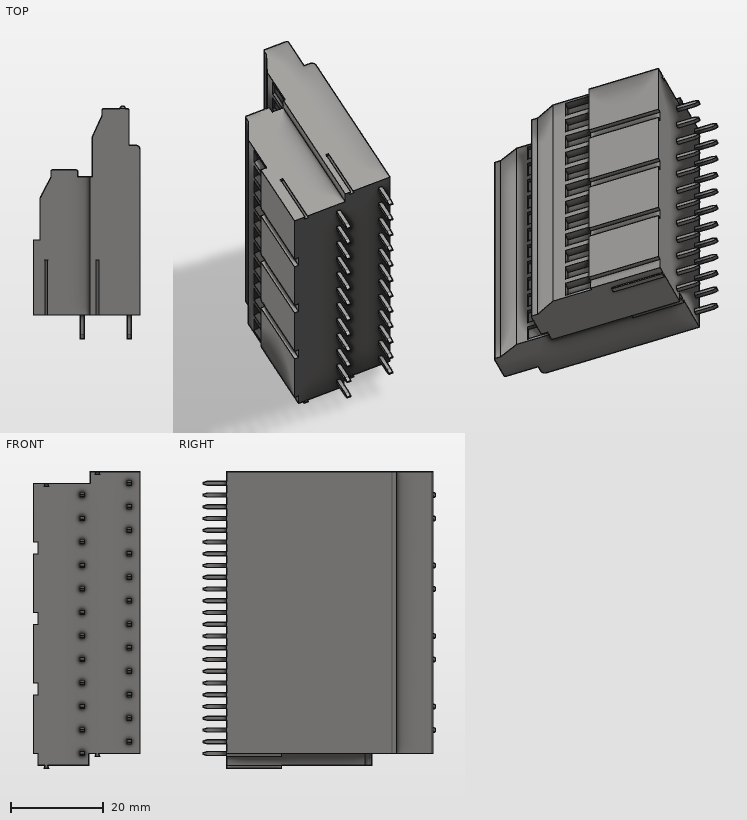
import cadquery as cq


total_length = 64.1
rib_height = 0.65
poles = 12
poles_per_group = 3
pitch = (total_length - rib_height) / (poles + 0.5)
row_length = poles * pitch
row_offset = pitch / 2
front_bottom = rib_height
rear_bottom = front_bottom + row_offset

front_depth = 12.0
front_lip_height = 16.3
front_face_x = 1.4
front_slope_bottom = 25.25
front_slope_top = 29.8
front_crest_x = 3.8
front_top = 31.4
front_crest_end = 9.6
saddle_height = 29.95

total_depth = 23.1
rear_start = 12.25
rear_face_x = 12.7
rear_slope_bottom = 38.45
rear_slope_top = 43.1
rear_crest_x = 14.8
rear_top = 44.6
rear_crest_end = 20.7
shoulder_height = 36.7
shoulder_radius = 1.0
crest_radius = 0.4

pocket_length = 3.7
front_pocket_top = 22.4
front_pocket_depth = 1.4
front_pocket_taper = 0.45
rear_pocket_top = 35.95
rear_pocket_depth = 0.6
rear_pocket_taper = 0.25

groove_depth = 0.95
groove_width = pitch / 2
groove_spacing = poles_per_group * pitch

rib_neck = 0.6
rib_head = 1.0
rib_length = 11.9
front_rib_x = 2.8
rear_rib_x = 13.85

pin_size = 0.9
pin_length = 5.1
pin_tip_length = 0.95
pin_tip_thickness = 0.3
pin_root = 0.65
front_pin_x = 10.6
rear_pin_x = 20.7

nub_radius = 0.6
nub_height = 0.6
nub_x = 19.3


def pole_centre(row_bottom, index):
    return row_bottom + (index + 0.5) * pitch


def round_crest(block, corners, bottom):
    """Round the Z-running edges at the given (x, y) corners of a row."""
    for x, y in corners:
        middle = (x, y, bottom + row_length / 2)
        edge = cq.selectors.NearestToPointSelector(middle)
        block = block.edges("|Z").edges(edge).fillet(crest_radius)
    return block


def front_row():
    block = (
        cq.Workplane("XY", origin=(0, 0, front_bottom))
        .lineTo(0, front_lip_height)
        .lineTo(front_face_x, front_lip_height)
        .lineTo(front_face_x, front_slope_bottom)
        .lineTo(front_crest_x, front_slope_top)
        .lineTo(front_crest_x, front_top)
        .lineTo(front_crest_end, front_top)
        .lineTo(front_crest_end, saddle_height)
        .lineTo(front_depth, saddle_height)
        .lineTo(front_depth, 0)
        .close()
        .extrude(row_length)
    )
    corners = [(front_crest_x, front_top), (front_crest_end, front_top)]
    return round_crest(block, corners, front_bottom)


def rear_row():
    block = (
        cq.Workplane("XY", origin=(0, 0, rear_bottom))
        .moveTo(rear_start, 0)
        .lineTo(rear_start, saddle_height)
        .lineTo(rear_face_x, saddle_height)
        .lineTo(rear_face_x, rear_slope_bottom)
        .lineTo(rear_crest_x, rear_slope_top)
        .lineTo(rear_crest_x, rear_top)
        .lineTo(rear_crest_end, rear_top)
        .lineTo(rear_crest_end, shoulder_height)
        .lineTo(total_depth - shoulder_radius, shoulder_height)
        .radiusArc((total_depth, shoulder_height - shoulder_radius), shoulder_radius)
        .lineTo(total_depth, 0)
        .close()
        .extrude(row_length)
    )
    corners = [(rear_crest_x, rear_top), (rear_crest_end, rear_top)]
    return round_crest(block, corners, rear_bottom)


def joining_web():
    """Thin wall that closes the gap between the rows over their shared length."""
    return cq.Workplane("XY").box(
        rear_start - front_depth, saddle_height, row_length - row_offset, centered=False
    ).translate((front_depth, 0, rear_bottom))


def pocket(face_x, bottom, top, depth, taper, centre_z):
    """Pocket sunk into a face looking toward -X, narrowing along Z toward its floor."""
    mouth = pocket_length / 2
    floor = mouth - taper
    return (
        cq.Workplane("ZX", origin=(0, bottom, centre_z))
        .polyline([
            (-mouth, face_x),
            (mouth, face_x),
            (floor, face_x + depth),
            (-floor, face_x + depth),
        ])
        .close()
        .extrude(top - bottom)
    )


def lip_groove(bottom):
    return cq.Workplane("XY").box(
        groove_depth, front_lip_height, groove_width, centered=False
    ).translate((0, 0, bottom))


def dovetail(x, neck_z):
    """Dovetail bar hanging down from neck_z, wider at its lower side."""
    return (
        cq.Workplane("XZ", origin=(x, 0, neck_z))
        .polyline([
            (-rib_neck / 2, 0),
            (rib_neck / 2, 0),
            (rib_head / 2, -rib_height),
            (-rib_head / 2, -rib_height),
        ])
        .close()
        .extrude(-rib_length)
    )


def pin(x, z):
    """Square pin pointing to -Y with a wedge tip thinned along Z."""
    half = pin_size / 2
    tip = pin_tip_thickness / 2
    taper_start = pin_tip_length - pin_length
    return (
        cq.Workplane("YZ", origin=(x - half, 0, z))
        .polyline([
            (pin_root, half),
            (taper_start, half),
            (-pin_length, tip),
            (-pin_length, -tip),
            (taper_start, -half),
            (pin_root, -half),
        ])
        .close()
        .extrude(pin_size)
    )


def nub(z):
    centre_y = rear_top + nub_height - nub_radius
    return cq.Workplane("XY").sphere(nub_radius).translate((nub_x, centre_y, z))


result = front_row().union(rear_row()).union(joining_web())

for index in range(poles):
    front_z = pole_centre(front_bottom, index)
    rear_z = pole_centre(rear_bottom, index)
    result = result.cut(pocket(
        front_face_x, front_lip_height, front_pocket_top, front_pocket_depth, front_pocket_taper, front_z
    ))
    result = result.cut(pocket(
        rear_face_x, saddle_height, rear_pocket_top, rear_pocket_depth, rear_pocket_taper, rear_z
    ))
    result = result.union(pin(front_pin_x, front_z))
    result = result.union(pin(rear_pin_x, rear_z))

for index in range(poles // poles_per_group):
    result = result.cut(lip_groove(front_bottom + index * groove_spacing))

for x, row_bottom in [(front_rib_x, front_bottom), (rear_rib_x, rear_bottom)]:
    result = result.union(dovetail(x, row_bottom))
    result = result.cut(dovetail(x, row_bottom + row_length))

for boundary in range(1, poles):
    inside_group = boundary % poles_per_group != 0
    if inside_group:
        result = result.union(nub(rear_bottom + boundary * pitch))